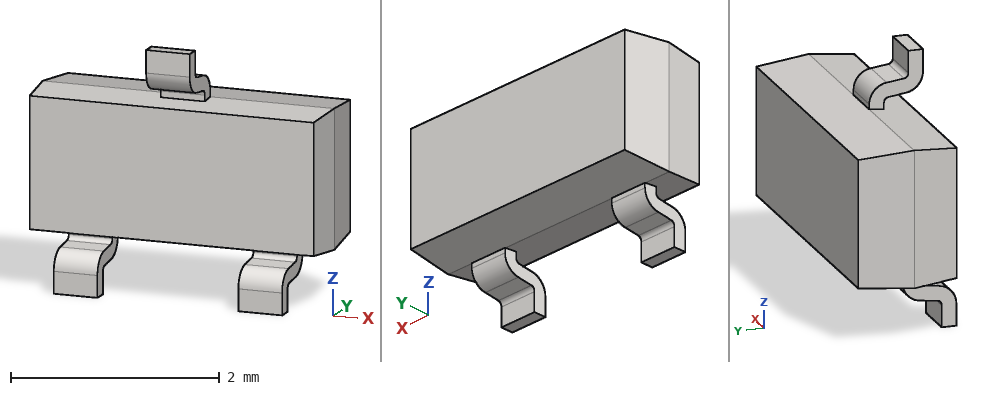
import cadquery as cq
import math


overall_depth = 1.1
overall_height = 2.5

housing_width = 3.0
housing_height = 1.4
front_depth = 0.45
standoff = 0.1
mounting_depth = front_depth + standoff
back_depth = overall_depth - mounting_depth
draft_angle = 5.0

lead_width = 0.45
lead_thickness = 0.15
lead_pitch = 1.9
inner_bend_radius = 0.05
foot_length = 0.225
shank_tilt = 7.0


def make_housing():
    """Two drafted halves that meet at the widest section, on the parting plane."""
    front_half = (
        cq.Workplane("XZ")
        .rect(housing_width, housing_height)
        .extrude(front_depth, taper=draft_angle)
    )
    back_half = (
        cq.Workplane("ZX")
        .rect(housing_height, housing_width)
        .extrude(back_depth, taper=draft_angle)
    )
    return front_half.union(back_half).solids()


def lead_centreline():
    """Middle of the upper lead's strip, from the housing out to the tip of the foot."""
    tilt = math.radians(shank_tilt)
    bend_radius = inner_bend_radius + lead_thickness / 2
    bend_y = bend_radius * (1 - math.sin(tilt))
    bend_z = bend_radius * math.cos(tilt)

    stub_y = -lead_thickness / 2
    foot_y = -mounting_depth + lead_thickness / 2
    shank_start_y = stub_y - bend_y
    shank_end_y = foot_y + bend_y
    shank_rise = (shank_start_y - shank_end_y) * math.tan(tilt)

    tip_z = overall_height / 2
    foot_start_z = tip_z - foot_length
    shank_end_z = foot_start_z - bend_z
    shank_start_z = shank_end_z - shank_rise
    stub_end_z = shank_start_z - bend_z
    stub_start_z = housing_height / 2 - lead_thickness * math.tan(math.radians(draft_angle))

    path = (
        cq.Workplane("YZ")
        .moveTo(stub_y, stub_start_z)
        .lineTo(stub_y, stub_end_z)
        .tangentArcPoint((shank_start_y, shank_start_z), relative=False)
        .lineTo(shank_end_y, shank_end_z)
        .tangentArcPoint((foot_y, foot_start_z), relative=False)
        .lineTo(foot_y, tip_z)
    )
    return path, stub_y, stub_start_z


def make_lead(housing, x, on_top):
    """Gull-wing lead at x, trimmed so that its root lies on the drafted housing wall."""
    path, root_y, root_z = lead_centreline()
    lead = (
        cq.Workplane("XY", origin=(0, root_y, root_z))
        .rect(lead_width, lead_thickness)
        .sweep(path)
    )
    if not on_top:
        lead = lead.mirror("XY")
    return lead.translate((x, 0, 0)).cut(housing).solids()


housing = make_housing()

lead_places = [
    (0, True),
    (-lead_pitch / 2, False),
    (lead_pitch / 2, False),
]
leads = [make_lead(housing, x, on_top) for x, on_top in lead_places]

result = cq.Compound.makeCompound([housing.val(), *[lead.val() for lead in leads]])